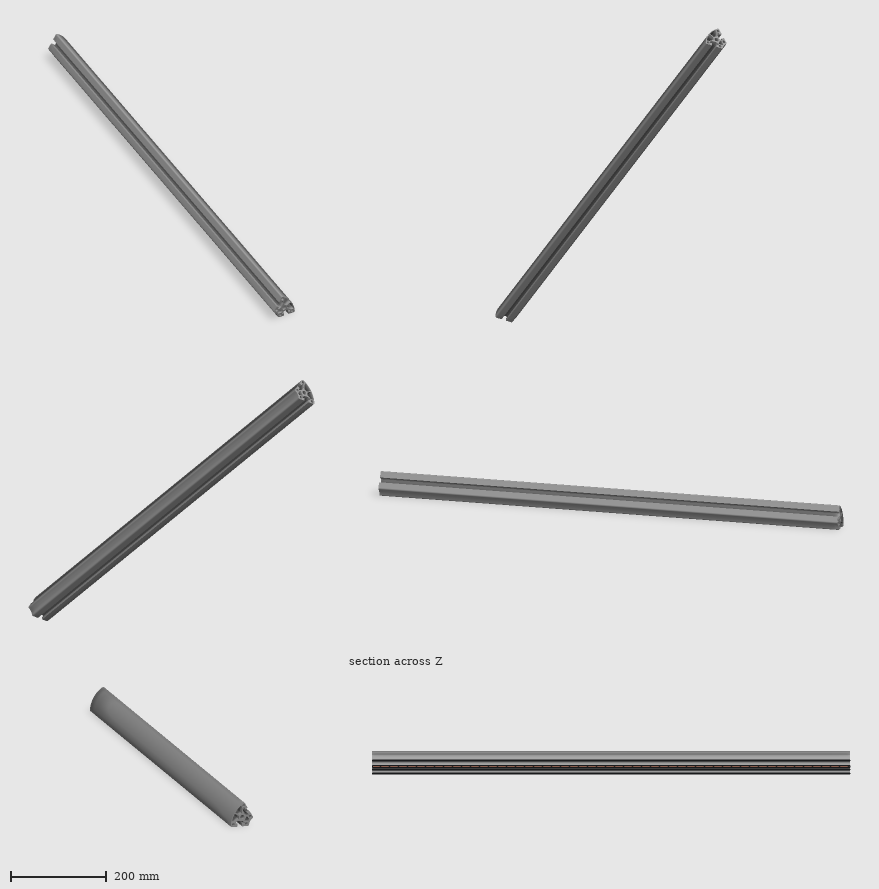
import cadquery as cq
import math


length = 1000.0
sector_angle = 60.0
inner_radius = 20.0
outer_radius = 60.0
corner_radius = 3.0

slot_centre = (inner_radius + outer_radius) / 2
slot_half_opening = 5.2
slot_inner_width = 21.0
slot_floor_width = 10.0
lip_depth = 6.1
slot_side_depth = 8.0
slot_depth = 12.0

outer_wall = 1.5
inner_wall = 3.0
middle_web = 2.0
slot_web = 2.0
foot_depth = 10.0
core_edge = 42.0
nose_chamber_end = 32.0

bore_radius = 4.5
corner_hole_radius = 3.0
corner_hole_offset = 14.0
corner_hole_depth = 5.0

end_angle = math.radians(sector_angle)
middle_angle = end_angle / 2
flank_slope = (slot_depth - slot_side_depth) / ((slot_inner_width - slot_floor_width) / 2)


def polar(radius, angle):
    return (radius * math.cos(angle), radius * math.sin(angle))


def profile_plane():
    return cq.Workplane("YZ")


def mirrored(body):
    """The same body at the other straight face."""
    return body.mirror("XY").rotate((0, 0, 0), (1, 0, 0), sector_angle)


def ring_sector():
    sector = (
        profile_plane()
        .moveTo(inner_radius, 0)
        .lineTo(outer_radius, 0)
        .threePointArc(polar(outer_radius, middle_angle), polar(outer_radius, end_angle))
        .lineTo(*polar(inner_radius, end_angle))
        .threePointArc(polar(inner_radius, middle_angle), (inner_radius, 0))
        .close()
        .extrude(length)
    )
    return sector.edges("|X").fillet(corner_radius)


def t_slot():
    half_outline = [
        (slot_half_opening, 0),
        (slot_half_opening, lip_depth),
        (slot_inner_width / 2, lip_depth),
        (slot_inner_width / 2, slot_side_depth),
        (slot_floor_width / 2, slot_depth),
    ]
    other_half = [(-across, depth) for across, depth in reversed(half_outline)]
    points = [(slot_centre + across, depth) for across, depth in half_outline + other_half]
    return profile_plane().polyline(points).close().extrude(length)


def web_foot_offset():
    """Distance from the slot's centre to where the web behind its flank meets the foot."""
    web_depth = slot_side_depth + slot_web * math.hypot(1, flank_slope)
    return slot_inner_width / 2 + (web_depth - foot_depth) / flank_slope


def outer_chamber():
    radius = outer_radius - outer_wall
    start = math.asin(foot_depth / radius)
    end = middle_angle - math.asin(middle_web / 2 / radius)
    foot_y = slot_centre + web_foot_offset()
    web_z = foot_depth + (foot_y - core_edge) * flank_slope
    middle_z = core_edge * math.tan(middle_angle) - middle_web / 2 / math.cos(middle_angle)
    return (
        profile_plane()
        .moveTo(foot_y, foot_depth)
        .lineTo(*polar(radius, start))
        .threePointArc(polar(radius, (start + end) / 2), polar(radius, end))
        .lineTo(core_edge, middle_z)
        .lineTo(core_edge, web_z)
        .close()
        .extrude(length)
    )


def nose_half_chamber():
    """Half of the chamber behind the inner arc, up to the middle plane."""
    radius = inner_radius + inner_wall
    start = math.asin(foot_depth / radius)
    foot_y = slot_centre - web_foot_offset()
    web_y = (nose_chamber_end - (foot_depth - foot_y * flank_slope) * math.sin(middle_angle)) / (
        math.cos(middle_angle) + flank_slope * math.sin(middle_angle)
    )
    return (
        profile_plane()
        .moveTo(*polar(radius, start))
        .lineTo(foot_y, foot_depth)
        .lineTo(web_y, foot_depth + (web_y - foot_y) * flank_slope)
        .lineTo(*polar(nose_chamber_end, middle_angle))
        .lineTo(*polar(radius, middle_angle))
        .threePointArc(polar(radius, (start + middle_angle) / 2), polar(radius, start))
        .close()
        .extrude(length)
    )


def corner_holes():
    places = [(slot_centre + side * corner_hole_offset, corner_hole_depth) for side in (-1, 1)]
    return profile_plane().pushPoints(places).circle(corner_hole_radius).extrude(length)


def core_bore():
    return profile_plane().center(*polar(slot_centre, middle_angle)).circle(bore_radius).extrude(length)


result = ring_sector().cut(core_bore())
for cutter in (t_slot(), outer_chamber(), nose_half_chamber(), corner_holes()):
    result = result.cut(cutter).cut(mirrored(cutter))